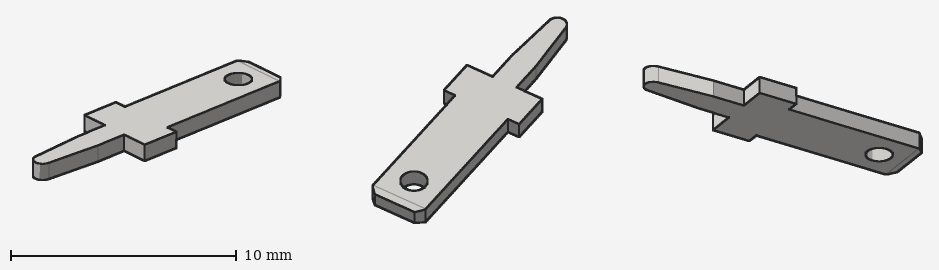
import cadquery as cq

total_length = 13.77
thickness = 0.81

blade_width = 2.78
corner_size = 0.35
bevel_length = 0.39
bevel_depth = 0.067
hole_diameter = 1.21
hole_from_end = 1.58

shoulder_width = 3.97
shoulder_length = 1.9

pin_length = 4.75
pin_width = 1.27
taper_start_y = 3.17
tip_width = 0.87
tip_round_length = 0.43

shoulder_top_y = pin_length + shoulder_length


def flat_terminal():
    """Full outline, traced up the right side from the tip and mirrored."""
    half_blade = blade_width / 2
    half_shoulder = shoulder_width / 2
    half_pin = pin_width / 2
    half_tip = tip_width / 2
    right_side = [
        (half_tip, tip_round_length),
        (half_pin, taper_start_y),
        (half_pin, pin_length),
        (half_shoulder, pin_length),
        (half_shoulder, shoulder_top_y),
        (half_blade, shoulder_top_y),
        (half_blade, total_length - corner_size),
        (half_blade - corner_size, total_length),
    ]
    left_side = [(-x, y) for x, y in reversed(right_side)]
    return (
        cq.Workplane("XY")
        .polyline(right_side + left_side)
        .threePointArc((0, 0), right_side[0])
        .close()
        .extrude(thickness)
    )


def end_bevel(face_z, inner_z):
    """Shallow wedge removed from one flat face at the blade end."""
    return (
        cq.Workplane("YZ")
        .moveTo(total_length - bevel_length, face_z)
        .lineTo(total_length, face_z)
        .lineTo(total_length, inner_z)
        .close()
        .extrude(blade_width / 2, both=True)
    )


def blade_hole():
    """Round hole through the blade near its end."""
    return (
        cq.Workplane("XY")
        .center(0, total_length - hole_from_end)
        .circle(hole_diameter / 2)
        .extrude(thickness)
    )


result = (
    flat_terminal()
    .cut(end_bevel(thickness, thickness - bevel_depth))
    .cut(end_bevel(0, bevel_depth))
    .cut(blade_hole())
)